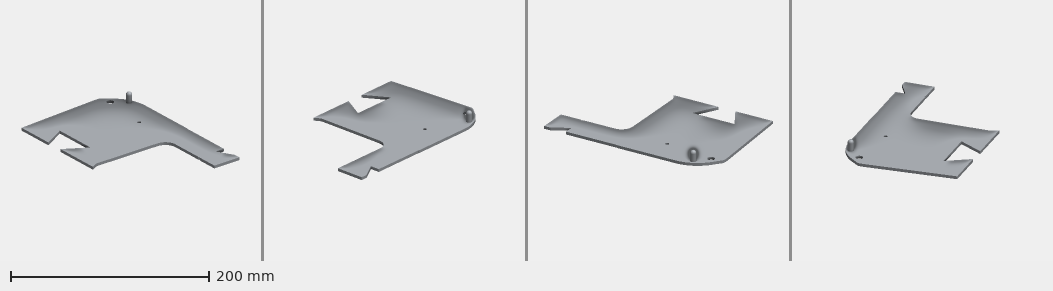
import cadquery as cq
import math

length = 197.2
width = 131.1
thickness = 3.2
foot_left_x = 6.9
foot_right_x = 124.5
body_right_x = 120.3
left_edge_top_y = 99.2

arm_top_y = 130.7
arm_bottom_y = 98.5
arm_step_x = 111.0
arm_fillet = 12.8

arm_notch_x = 171.3
top_notch_depth = 10.6
bottom_notch_depth = 1.2
notch_slope = math.radians(30)

flare_angle = math.radians(30)
flare_radius = 9.9

dovetail_x = 61.1
dovetail_top_width = 50.0
dovetail_depth = 26.2
dovetail_angle = math.radians(60)

shoulder_arc_x = 41.5
shoulder_radius = 42.4
bevel_top_x = 7.3
bevel_bottom = (2.2, 107.5)
small_arc_middle = (0.5, 105.3)
small_arc_end = (0.0, 102.5)

holes = [(13.2, 108.5, 7.9), (69.4, 101.7, 4.1)]

pin_x = 25.8
pin_y = 122.6
pin_diameter = 6.3
total_height = 15.2


def shoulder_point(x):
    """Point of the large shoulder arc at the given x."""
    rise = math.sqrt(shoulder_radius**2 - (x - shoulder_arc_x) ** 2)
    return (x, width - shoulder_radius + rise)


def make_plate():
    top_notch_run = top_notch_depth / math.tan(notch_slope)
    bottom_notch_run = bottom_notch_depth / math.tan(notch_slope)
    dovetail_half_top = dovetail_top_width / 2
    dovetail_half_mouth = dovetail_half_top - dovetail_depth / math.tan(dovetail_angle)
    flare_height = (foot_right_x - body_right_x) / math.tan(flare_angle)
    flare_corner = (body_right_x, flare_height)
    arm_corner = (body_right_x, arm_bottom_y)
    shoulder_middle_x = (bevel_top_x + shoulder_arc_x) / 2

    plate = (
        cq.Workplane("XY")
        .moveTo(foot_left_x, 0)
        .lineTo(dovetail_x - dovetail_half_mouth, 0)
        .lineTo(dovetail_x - dovetail_half_top, dovetail_depth)
        .lineTo(dovetail_x + dovetail_half_top, dovetail_depth)
        .lineTo(dovetail_x + dovetail_half_mouth, 0)
        .lineTo(foot_right_x, 0)
        .lineTo(*flare_corner)
        .lineTo(*arm_corner)
        .lineTo(arm_notch_x, arm_bottom_y)
        .lineTo(arm_notch_x, arm_bottom_y + bottom_notch_depth)
        .lineTo(arm_notch_x + bottom_notch_run, arm_bottom_y)
        .lineTo(length, arm_bottom_y)
        .lineTo(length, arm_top_y)
        .lineTo(arm_notch_x + top_notch_run, arm_top_y)
        .lineTo(arm_notch_x, arm_top_y - top_notch_depth)
        .lineTo(arm_notch_x, arm_top_y)
        .lineTo(arm_step_x, arm_top_y)
        .lineTo(arm_step_x, width)
        .lineTo(shoulder_arc_x, width)
        .threePointArc(shoulder_point(shoulder_middle_x), shoulder_point(bevel_top_x))
        .lineTo(*bevel_bottom)
        .threePointArc(small_arc_middle, small_arc_end)
        .lineTo(0, left_edge_top_y)
        .close()
        .extrude(thickness)
    )
    for corner, radius in ((flare_corner, flare_radius), (arm_corner, arm_fillet)):
        corner_edge = cq.selectors.NearestToPointSelector((*corner, thickness / 2))
        plate = plate.edges("|Z").edges(corner_edge).fillet(radius)
    return plate


def drill_holes(plate):
    for x, y, diameter in holes:
        plate = plate.cut(cq.Workplane("XY").center(x, y).circle(diameter / 2).extrude(thickness))
    return plate


def make_pin():
    """Cylinder from the underside of the plate with a hemispherical end."""
    radius = pin_diameter / 2
    shank_height = total_height - radius
    shank = cq.Workplane("XY").center(pin_x, pin_y).circle(radius).extrude(shank_height)
    tip = cq.Workplane("XY").sphere(radius).translate((pin_x, pin_y, shank_height))
    return shank.union(tip)


result = drill_holes(make_plate()).union(make_pin())